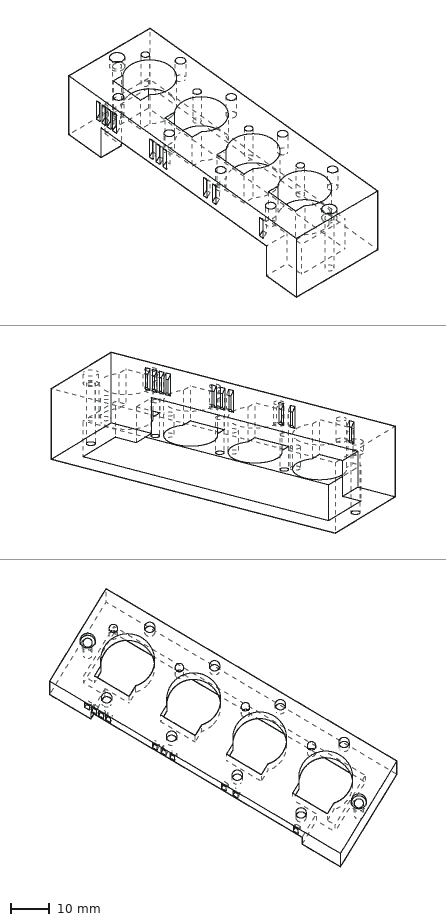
import cadquery as cq

LENGTH = 88.0
WIDTH = 28.4
HEIGHT = 20.0

PLATE_UNDERSIDE = 10.1
OUTER_WALL = 6.0
FRONT_WALL = 7.2

OPENING_LEFT = 12.5
OPENING_RIGHT = 76.4

STATION_PITCH = 20.0
FIRST_STATION = 14.5
STATIONS = [FIRST_STATION + i * STATION_PITCH for i in range(4)]
BORE_DIAMETER = 14.0
BORE_Y = 15.1
KEY_WIDTH = 10.5

SIDE_HOLE_DIAMETER = 2.2
SIDE_HOLE_OFFSET = 7.5
SIDE_HOLE_Y = 20.4

BLIND_DIAMETER = 2.7
BLIND_DEPTH = 6.0
BLIND_X = [15.0, 34.6, 54.5, 73.7]
BLIND_Y = [3.9, 25.5]

MOUNT_INSET = 3.0
MOUNT_DIAMETER = 2.4
MOUNT_HEAD_DIAMETER = 4.0
MOUNT_HEAD_DEPTH = 3.0

MARK_WIDTH = 1.4
MARK_TOP = 18.1
MARK_BOTTOM = 12.0
MARK_DEPTH = 1.1
MARK_GROUPS = [(4, 2.1), (3, 2.6), (2, 3.5), (1, 0.0)]


def box_between(x_range, y_range, z_range):
    """Box spanning the given (low, high) pairs."""
    low, high = zip(x_range, y_range, z_range)
    size = [b - a for a, b in zip(low, high)]
    return cq.Workplane("XY").box(*size, centered=False).translate(low)


def drill(points, diameter, depth):
    """Round holes sunk from the top face."""
    bottom = HEIGHT - depth
    return cq.Workplane("XY").workplane(offset=bottom).pushPoints(points).circle(diameter / 2).extrude(depth)


def keyhole(x):
    """Round bore joined to a rectangular key that reaches the front wall."""
    bore = drill([(x, BORE_Y)], BORE_DIAMETER, HEIGHT)
    key = box_between((x - KEY_WIDTH / 2, x + KEY_WIDTH / 2), (FRONT_WALL, BORE_Y), (0, HEIGHT))
    return bore.union(key)


def tally_mark(x):
    """Groove in the front face, narrowing in height towards its floor."""
    profile = [
        (0, MARK_BOTTOM),
        (MARK_DEPTH, MARK_BOTTOM + MARK_DEPTH),
        (MARK_DEPTH, MARK_TOP - MARK_DEPTH),
        (0, MARK_TOP),
    ]
    groove = cq.Workplane("YZ").polyline(profile).close().extrude(MARK_WIDTH)
    return groove.translate((x - MARK_WIDTH / 2, 0, 0))


result = box_between((0, LENGTH), (0, WIDTH), (0, HEIGHT))
result = result.cut(
    box_between((OUTER_WALL, LENGTH - OUTER_WALL), (FRONT_WALL, WIDTH - OUTER_WALL), (0, PLATE_UNDERSIDE))
)
result = result.cut(box_between((OPENING_LEFT, OPENING_RIGHT), (0, FRONT_WALL), (0, PLATE_UNDERSIDE)))

for station in STATIONS:
    result = result.cut(keyhole(station))
side_holes = [(station - SIDE_HOLE_OFFSET, SIDE_HOLE_Y) for station in STATIONS]
plate_thickness = HEIGHT - PLATE_UNDERSIDE
result = result.cut(drill(side_holes, SIDE_HOLE_DIAMETER, plate_thickness))

blind_holes = [(x, y) for x in BLIND_X for y in BLIND_Y]
result = result.cut(drill(blind_holes, BLIND_DIAMETER, BLIND_DEPTH))

mounts = [(MOUNT_INSET, WIDTH / 2), (LENGTH - MOUNT_INSET, WIDTH / 2)]
result = result.cut(drill(mounts, MOUNT_DIAMETER, HEIGHT))
result = result.cut(drill(mounts, MOUNT_HEAD_DIAMETER, MOUNT_HEAD_DEPTH))

for station, (count, spacing) in zip(STATIONS, MARK_GROUPS):
    for i in range(count):
        result = result.cut(tally_mark(station + (i - (count - 1) / 2) * spacing))